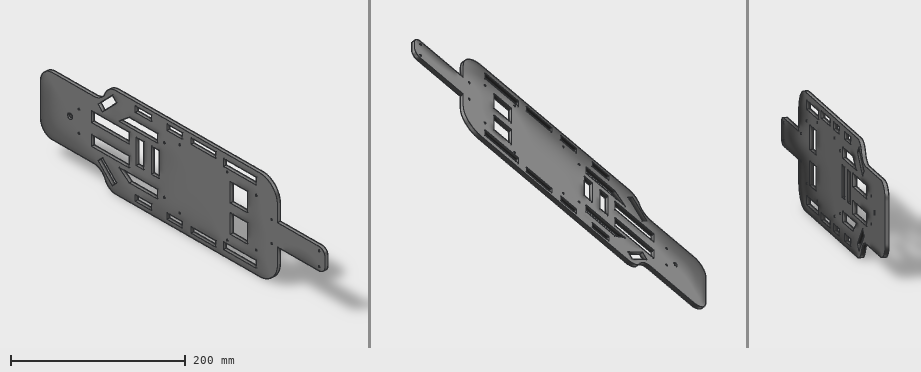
import cadquery as cq
import math

LENGTH = 480.0
WIDTH = 140.0
THICKNESS = 5.0

HEAD_WIDTH = 90.5
HEAD_CORNER_RADIUS = 20.0
SHOULDER_START = 90.0
SHOULDER_RADIUS = 20.0
BODY_END = 400.0
BODY_CORNER_RADIUS = 30.0
TAIL_WIDTH = 33.0
TAIL_CORNER_RADIUS = 10.0

RIM_SLOT_INNER = 55.5
RIM_SLOT_OUTER = 64.5
MIRRORED_WINDOWS = [
    (160.0, 187.0, RIM_SLOT_INNER, RIM_SLOT_OUTER),
    (213.0, 239.0, RIM_SLOT_INNER, RIM_SLOT_OUTER),
    (254.0, 295.5, RIM_SLOT_INNER, RIM_SLOT_OUTER),
    (308.5, 364.0, 51.0, 61.5),
    (86.0, 150.0, 8.0, 24.0),
    (320.0, 349.0, 6.5, 35.5),
]

UPRIGHT_WINDOW_STARTS = [161.5, 187.0]
UPRIGHT_WINDOW_WIDTH = 13.0
UPRIGHT_WINDOW_BOTTOM = -15.5
UPRIGHT_WINDOW_TOP = 22.5

TRAPEZOID_TIP = 132.5
TRAPEZOID_SLANT_END = 150.0
TRAPEZOID_END = 197.5
TRAPEZOID_INNER = 31.0
TRAPEZOID_OUTER = 44.0

SLANTED_SLOT_X = 113.0
SLANTED_SLOT_Z = 46.0
SLANTED_SLOT_LENGTH = 33.0
SLANTED_SLOT_WIDTH = 10.0
SLANTED_SLOT_ANGLE = 44.0

CENTRE_HOLE_X = 50.0
CENTRE_HOLE_DIAMETER = 5.5
COUNTERSINK_DIAMETER = 8.0
COUNTERSINK_ANGLE = 90.0
SCREW_HOLE_DIAMETER = 2.5
SCREW_HOLES = [
    (65.0, 16.5),
    (209.0, 37.0),
    (234.5, 46.0),
    (315.0, 46.0),
    (364.0, 37.0),
    (390.0, 16.5),
    (470.0, 10.5),
]

SIDES = (1, -1)


def front_plane():
    """Workplane with local x = X and local y = Z, through the middle of the plate."""
    return cq.Workplane("XZ")


def plate_from(sketch):
    return sketch.extrude(THICKNESS / 2, both=True)


def rectangle(x_start, x_end, z_start, z_end):
    centre = ((x_start + x_end) / 2, (z_start + z_end) / 2)
    return plate_from(front_plane().center(*centre).rect(x_end - x_start, abs(z_end - z_start)))


def half_plate():
    """Half of the plate above the centreline, with an S-shaped shoulder of two equal tangent arcs."""
    head_z = HEAD_WIDTH / 2
    body_z = WIDTH / 2
    rise = body_z - head_z
    sweep = math.acos(1 - rise / (2 * SHOULDER_RADIUS))
    half_run = SHOULDER_RADIUS * math.sin(sweep)
    shoulder_middle = (SHOULDER_START + half_run, head_z + rise / 2)
    shoulder_end = (SHOULDER_START + 2 * half_run, body_z)
    tail_z = TAIL_WIDTH / 2

    return plate_from(
        front_plane()
        .moveTo(0, 0)
        .lineTo(0, head_z - HEAD_CORNER_RADIUS)
        .radiusArc((HEAD_CORNER_RADIUS, head_z), HEAD_CORNER_RADIUS)
        .lineTo(SHOULDER_START, head_z)
        .radiusArc(shoulder_middle, -SHOULDER_RADIUS)
        .radiusArc(shoulder_end, SHOULDER_RADIUS)
        .lineTo(BODY_END - BODY_CORNER_RADIUS, body_z)
        .radiusArc((BODY_END, body_z - BODY_CORNER_RADIUS), BODY_CORNER_RADIUS)
        .lineTo(BODY_END, tail_z)
        .lineTo(LENGTH - TAIL_CORNER_RADIUS, tail_z)
        .radiusArc((LENGTH, tail_z - TAIL_CORNER_RADIUS), TAIL_CORNER_RADIUS)
        .lineTo(LENGTH, 0)
        .close()
    )


def trapezoid_window(side):
    return plate_from(
        front_plane()
        .moveTo(TRAPEZOID_TIP, side * TRAPEZOID_INNER)
        .lineTo(TRAPEZOID_SLANT_END, side * TRAPEZOID_OUTER)
        .lineTo(TRAPEZOID_END, side * TRAPEZOID_OUTER)
        .lineTo(TRAPEZOID_END, side * TRAPEZOID_INNER)
        .close()
    )


def slanted_slot(side):
    return plate_from(
        front_plane()
        .center(SLANTED_SLOT_X, side * SLANTED_SLOT_Z)
        .transformed(rotate=(0, 0, side * SLANTED_SLOT_ANGLE))
        .rect(SLANTED_SLOT_LENGTH, SLANTED_SLOT_WIDTH)
    )


def screw_holes(side):
    places = [(x, side * z) for x, z in SCREW_HOLES]
    return plate_from(front_plane().pushPoints(places).circle(SCREW_HOLE_DIAMETER / 2))


upper_half = half_plate()
plate = upper_half.union(upper_half.mirror("XY")).clean()

for side in SIDES:
    for x_start, x_end, z_inner, z_outer in MIRRORED_WINDOWS:
        plate = plate.cut(rectangle(x_start, x_end, side * z_inner, side * z_outer))
    plate = plate.cut(trapezoid_window(side))
    plate = plate.cut(slanted_slot(side))
    plate = plate.cut(screw_holes(side))

for x_start in UPRIGHT_WINDOW_STARTS:
    x_end = x_start + UPRIGHT_WINDOW_WIDTH
    plate = plate.cut(rectangle(x_start, x_end, UPRIGHT_WINDOW_BOTTOM, UPRIGHT_WINDOW_TOP))

result = (
    plate.faces("<Y")
    .workplane(origin=(CENTRE_HOLE_X, -THICKNESS / 2, 0))
    .cskHole(CENTRE_HOLE_DIAMETER, COUNTERSINK_DIAMETER, COUNTERSINK_ANGLE)
)